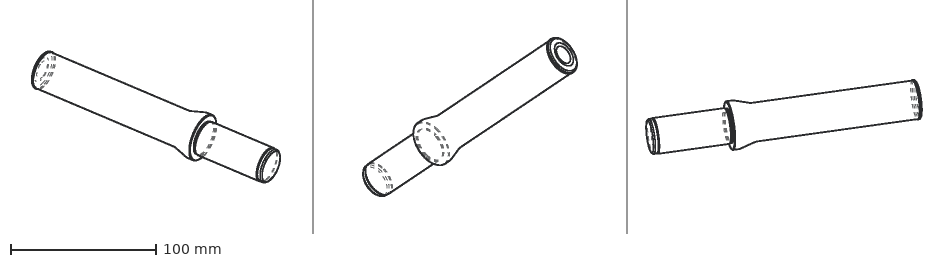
import cadquery as cq

TOTAL_LENGTH = 190.0

GRIP_RADIUS = 27.0 / 2
COLLAR_RADIUS = 34.0 / 2
FLARE_START = 116.8
FLARE_END = 128.8
FLARE_BLEND_RADIUS = 3.8
COLLAR_END = 134.0
COLLAR_CHAMFER = 0.5

LIP_START = 1.3
LIP_END = 2.5
LIP_FRONT_RADIUS = 13.7
LIP_BACK_RADIUS = 13.9
FACE_RADIUS = 12.5
FACE_SET_BACK = 0.48
OUTER_CREST_RADIUS = 9.0
GROOVE_RADIUS = 6.6
INNER_CREST_RADIUS = 4.5
GROOVE_DEPTH = 0.48
DISH_DEPTH = 0.4

LAND_RADIUS = 25.0 / 2
NECK_RADIUS = 24.5 / 2
NECK_LENGTH = 1.0
LAND_START = COLLAR_END + NECK_LENGTH
LAND_END = 186.8
LAND_TAPER_LENGTH = 0.8
TIP_CHAMFER_LENGTH = 1.1
TIP_CHAMFER_DEPTH = 1.0


def turned(profile):
    """Revolve a closed (x, radius) profile about the X axis."""
    outline = cq.Workplane("XY").polyline(profile).close()
    return outline.revolve(360, (0, 0, 0), (1, 0, 0))


def make_handle():
    """Grip with a V-grooved end face, flaring out to a collar."""
    ringed_face = [
        (DISH_DEPTH, 0),
        (0, INNER_CREST_RADIUS),
        (GROOVE_DEPTH, GROOVE_RADIUS),
        (0, OUTER_CREST_RADIUS),
        (FACE_SET_BACK, FACE_RADIUS),
    ]
    outside = [
        (LIP_START, LIP_FRONT_RADIUS),
        (LIP_END, LIP_BACK_RADIUS),
        (LIP_END, GRIP_RADIUS),
        (FLARE_START, GRIP_RADIUS),
        (FLARE_END, COLLAR_RADIUS),
        (COLLAR_END, COLLAR_RADIUS),
        (COLLAR_END, 0),
    ]
    body = turned(ringed_face + outside)

    flare_zone = cq.selectors.BoxSelector(
        (FLARE_START - 1.9, -COLLAR_RADIUS, -COLLAR_RADIUS),
        (FLARE_END + 1.9, COLLAR_RADIUS, COLLAR_RADIUS),
    )
    body = body.edges("%CIRCLE").edges(flare_zone).fillet(FLARE_BLEND_RADIUS)
    return body.faces(">X").edges().chamfer(COLLAR_CHAMFER)


def make_shank():
    """Plain shank butting against the collar, necked at both ends."""
    return turned([
        (COLLAR_END, 0),
        (COLLAR_END, NECK_RADIUS),
        (LAND_START, NECK_RADIUS),
        (LAND_START + LAND_TAPER_LENGTH, LAND_RADIUS),
        (LAND_END - LAND_TAPER_LENGTH, LAND_RADIUS),
        (LAND_END, NECK_RADIUS),
        (TOTAL_LENGTH - TIP_CHAMFER_LENGTH, NECK_RADIUS),
        (TOTAL_LENGTH, NECK_RADIUS - TIP_CHAMFER_DEPTH),
        (TOTAL_LENGTH, 0),
    ])


handle = make_handle()
shank = make_shank()

result = cq.Compound.makeCompound([handle.val(), shank.val()])